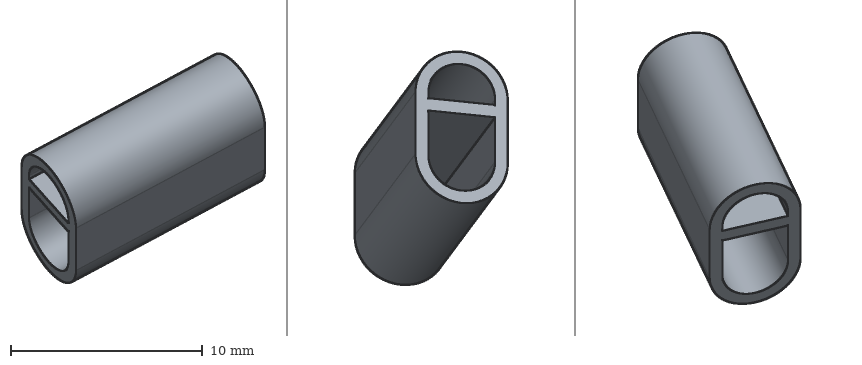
import cadquery as cq

length = 12.0
width = 5.0
height = 8.5
wall = 0.7
upper_channel_height = 2.1

inner_width = width - 2 * wall
inner_height = height - 2 * wall
divider_top = inner_height / 2 - upper_channel_height
divider_center = divider_top - wall / 2


def rounded_bar(bar_height, bar_width):
    """Bar along Y with an upright, round-ended cross-section."""
    return cq.Workplane("XZ").slot2D(bar_height, bar_width, 90).extrude(length / 2, both=True)


outer_body = rounded_bar(height, width)
bore = rounded_bar(inner_height, inner_width)
tube = outer_body.cut(bore)

divider = (
    cq.Workplane("XY")
    .box(inner_width + wall, length, wall)
    .translate((0, 0, divider_center))
)

result = tube.union(divider)